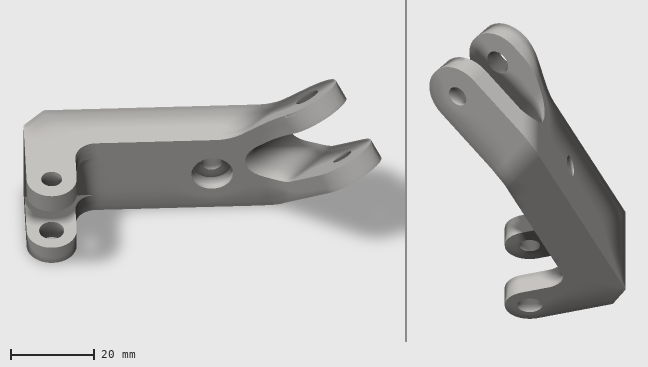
import cadquery as cq
import math

ARM_ANGLE = math.degrees(math.atan(1 / 3))
BODY_HEIGHT = 22.0
ARM_WIDTH = 12.0

LEG_RADIUS = 6.0
LEG_LENGTH = 12.0
LEG_FILLET = 5.0
CORNER_CHAMFER = 5.0
HINGE_GAP = 12.0
HINGE_UPPER_HOLE = 5.0
HINGE_LOWER_HOLE = 6.0

CROSS_HOLE_POSITION = 39.0
CROSS_HOLE_DIAMETER = 5.0
CROSS_BORE_DIAMETER = 10.0
CROSS_BORE_DEPTH = 4.0

FORK_ANGLE = -23.5
FORK_TILT = 40.0
FORK_X = 53.49
FORK_Y = 35.27
FORK_Z = 31.0
FORK_RADIUS = 8.0
NEAR_SIDE_STEP = 0.4
NEAR_STEP_DEPTH = 0.6
FORK_GAP = 12.0
UPPER_EYE_HOLE = 6.0
LOWER_EYE_HOLE = 5.0
SLOT_DEPTH = 12.0
INNER_BEND_RADIUS = 8.2
OUTER_BEND_RADIUS = 8.0
UPPER_FOLD_RADIUS = 7.5
LOWER_FOLD_RADIUS = 7.5

REACH = 100.0
HINGE_FLOOR = (BODY_HEIGHT - HINGE_GAP) / 2
ARM_BACK = LEG_LENGTH + ARM_WIDTH
NEAR_REACH = FORK_RADIUS + NEAR_SIDE_STEP


def to_arm_frame(x, y):
    """Coordinates (u, v) of the point (x, y)."""
    a = math.radians(ARM_ANGLE)
    return x * math.cos(a) + y * math.sin(a), y * math.cos(a) - x * math.sin(a)


EYE_U, EYE_V = to_arm_frame(FORK_X, FORK_Y)
BEND = math.radians(ARM_ANGLE - FORK_ANGLE)


def fork_side_u(v, offset):
    """u where a wall parallel to the fork, offset from the eye centre, reaches the given v."""
    wall_u = EYE_U + offset * math.sin(BEND)
    wall_v = EYE_V + offset * math.cos(BEND)
    return wall_u + (wall_v - v) / math.tan(BEND)


def along_fork(u, v, distance):
    """The point (u, v) moved by the given distance along the fork direction."""
    return u + distance * math.cos(BEND), v - distance * math.sin(BEND)


def make_plan():
    """Plan of the leg, the arm and the bent fork, extruded to twice the body height."""
    inner = (fork_side_u(LEG_LENGTH, -NEAR_REACH), LEG_LENGTH)
    outer = (fork_side_u(ARM_BACK, FORK_RADIUS), ARM_BACK)
    plan = (
        cq.Workplane("XY")
        .moveTo(-LEG_RADIUS, 0)
        .threePointArc((0, -LEG_RADIUS), (LEG_RADIUS, 0))
        .lineTo(LEG_RADIUS, LEG_LENGTH)
        .lineTo(*inner)
        .lineTo(*along_fork(*inner, REACH))
        .lineTo(*along_fork(*outer, REACH))
        .lineTo(*outer)
        .lineTo(CORNER_CHAMFER - LEG_RADIUS, ARM_BACK)
        .lineTo(-LEG_RADIUS, ARM_BACK - CORNER_CHAMFER)
        .close()
        .extrude(2 * BODY_HEIGHT)
    )

    def edge_at(u, v):
        return cq.selectors.NearestToPointSelector((u, v, BODY_HEIGHT))

    plan = plan.edges(edge_at(LEG_RADIUS, LEG_LENGTH)).fillet(LEG_FILLET)
    plan = plan.edges(edge_at(*inner)).fillet(INNER_BEND_RADIUS)
    plan = plan.edges(edge_at(*outer)).fillet(OUTER_BEND_RADIUS)
    return plan.rotate((0, 0, 0), (0, 0, 1), ARM_ANGLE)


def eye_frame():
    """Frame at the top of the eye: x level along the fork, y upward, z across to the near side."""
    a = math.radians(FORK_ANGLE)
    along = (math.cos(a), math.sin(a), 0)
    across = (math.sin(a), -math.cos(a), 0)
    return cq.Plane((FORK_X, FORK_Y, FORK_Z), along, across)


def tilted(along, depth):
    """Point in the eye frame: distance along the tilted fork, depth below its upper face."""
    t = math.radians(FORK_TILT)
    return (
        along * math.cos(t) + depth * math.sin(t),
        along * math.sin(t) - depth * math.cos(t),
    )


def tilted_plane(depth):
    """Plane parallel to the fork faces, centred on the eye: x toward the tip, y to the far side."""
    plane = eye_frame().rotated((-90, 0, 0)).rotated((0, -FORK_TILT, 0))
    return cq.Workplane(plane).workplane(offset=-depth)


def eye_cylinder(radius, depth):
    """Cylinder on the eye axis, from the upper face of the fork down to the given depth."""
    return tilted_plane(0).circle(radius).extrude(-depth)


def near_quarter():
    """Quarter of the rounded end between the near side and the tip, shifted to the near side."""
    diagonal = FORK_RADIUS * math.sqrt(0.5)
    return (
        tilted_plane(NEAR_STEP_DEPTH)
        .lineTo(FORK_RADIUS, 0)
        .lineTo(FORK_RADIUS, -NEAR_SIDE_STEP)
        .threePointArc((diagonal, -diagonal - NEAR_SIDE_STEP), (0, -NEAR_REACH))
        .close()
        .extrude(NEAR_STEP_DEPTH - BODY_HEIGHT)
    )


def make_side_profile():
    """Flat arm folding up into the tilted fork, cut off at the eye axis."""
    t = math.radians(FORK_TILT)
    upper_level = BODY_HEIGHT - FORK_Z
    lower_level = -FORK_Z
    upper_fold = (upper_level / math.tan(t), upper_level)
    lower_fold = (upper_fold[0] + BODY_HEIGHT * math.tan(t / 2), lower_level)
    profile = (
        cq.Workplane(eye_frame())
        .moveTo(-REACH, lower_level)
        .lineTo(*lower_fold)
        .lineTo(*tilted(0, BODY_HEIGHT))
        .lineTo(*tilted(0, 0))
        .lineTo(*upper_fold)
        .lineTo(-REACH, upper_level)
        .close()
        .extrude(REACH, both=True)
    )

    def edge_at(point):
        where = eye_frame().toWorldCoords(point)
        return cq.selectors.NearestToPointSelector(where.toTuple())

    profile = profile.edges(edge_at(upper_fold)).fillet(UPPER_FOLD_RADIUS)
    return profile.edges(edge_at(lower_fold)).fillet(LOWER_FOLD_RADIUS)


def cut_fork_slot(body):
    """Slot between the prongs, with a full round at its inner end."""
    near = (BODY_HEIGHT - FORK_GAP) / 2
    far = near + FORK_GAP
    middle = BODY_HEIGHT / 2
    slot = (
        cq.Workplane(eye_frame())
        .moveTo(*tilted(REACH, near))
        .lineTo(*tilted(-SLOT_DEPTH, near))
        .threePointArc(tilted(-SLOT_DEPTH - FORK_GAP / 2, middle), tilted(-SLOT_DEPTH, far))
        .lineTo(*tilted(REACH, far))
        .close()
        .extrude(REACH, both=True)
    )
    return body.cut(slot)


def cut_hinge(body):
    """Gap between the hinge lugs, flush with the near arm face, and the two lug holes."""
    gap = (
        cq.Workplane("XY", origin=(0, 0, HINGE_FLOOR))
        .rect(4 * LEG_RADIUS, 2 * LEG_LENGTH)
        .extrude(HINGE_GAP)
        .rotate((0, 0, 0), (0, 0, 1), ARM_ANGLE)
    )
    upper = cq.Workplane("XY").circle(HINGE_UPPER_HOLE / 2).extrude(BODY_HEIGHT)
    lower = cq.Workplane("XY").circle(HINGE_LOWER_HOLE / 2).extrude(BODY_HEIGHT / 2)
    return body.cut(gap).cut(upper).cut(lower)


def cut_cross_hole(body):
    """Counterbored hole through the arm, bored from the near face."""
    frame = cq.Plane((CROSS_HOLE_POSITION, LEG_LENGTH, BODY_HEIGHT / 2), (1, 0, 0), (0, -1, 0))
    face = cq.Workplane(frame)
    hole = face.circle(CROSS_HOLE_DIAMETER / 2).extrude(-ARM_WIDTH)
    bore = face.circle(CROSS_BORE_DIAMETER / 2).extrude(-CROSS_BORE_DEPTH)
    return body.cut(hole.union(bore).rotate((0, 0, 0), (0, 0, 1), ARM_ANGLE))


result = make_plan().intersect(make_side_profile())
result = result.union(eye_cylinder(FORK_RADIUS, BODY_HEIGHT)).union(near_quarter())
result = cut_fork_slot(result)
result = result.cut(eye_cylinder(UPPER_EYE_HOLE / 2, BODY_HEIGHT / 2))
result = result.cut(eye_cylinder(LOWER_EYE_HOLE / 2, BODY_HEIGHT))
result = cut_hinge(result)
result = cut_cross_hole(result)